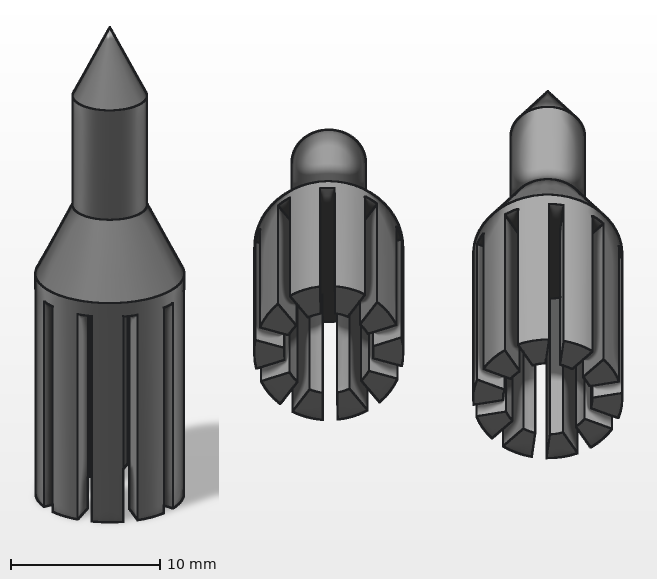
import cadquery as cq

total_height = 34.0
sleeve_diameter = 10.0
sleeve_height = 16.0
shoulder_height = 5.0
shaft_height = 8.0
bore_diameter = 6.0
slot_height = 15.0
slot_width = 1.0
slot_count = 10

sleeve_radius = sleeve_diameter / 2
shaft_radius = sleeve_radius / 2
shoulder_top = sleeve_height + shoulder_height
shaft_top = shoulder_top + shaft_height
slot_pitch = 360 / slot_count


def make_body():
    """Sleeve, conical shoulder, shaft and pointed tip, revolved about Z."""
    return (
        cq.Workplane("XZ")
        .lineTo(sleeve_radius, 0)
        .lineTo(sleeve_radius, sleeve_height)
        .lineTo(shaft_radius, shoulder_top)
        .lineTo(shaft_radius, shaft_top)
        .lineTo(0, total_height)
        .close()
        .revolve(360, (0, 0, 0), (0, 1, 0))
    )


def make_bore():
    """Blind bore, as deep as the slots are tall."""
    return cq.Workplane("XY").circle(bore_diameter / 2).extrude(slot_height)


def make_slot(angle):
    """Radial slot running from the axis out past the sleeve wall."""
    return (
        cq.Workplane("XY")
        .box(sleeve_diameter, slot_width, slot_height, centered=(False, True, False))
        .rotate((0, 0, 0), (0, 0, 1), angle)
    )


result = make_body().cut(make_bore())

for index in range(slot_count):
    result = result.cut(make_slot(-90 + index * slot_pitch))